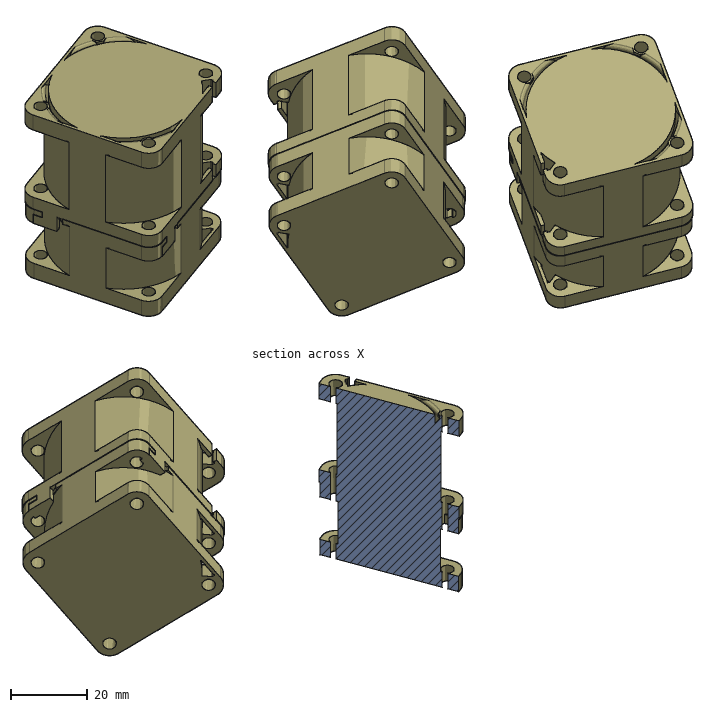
import cadquery as cq
import math

total_height = 56.14
upper_width = 40.18
lower_width = 39.86
split_z = 23.8
corner_radius = 4.0
flat_half_width = 5.4

end_flange = 5.17
upper_joint_flange = 4.13
lower_joint_flange = 4.83

screw_spacing = 32.0
screw_diameter = 3.5

plug_radius = 19.57
bell_throat_radius = 20.4
bell_lip_radius = 1.0
bell_mouth_radius = bell_throat_radius + bell_lip_radius
bell_depth = 3.0
bell_half_width = 19.26
boss_inner_edge = 13.77

cable_opening_points = [(15.95, 12.3), (18.3, 14.4), (19.0, 14.4), (19.0, 8.6), (18.4, 8.6)]
cable_slit_start_y = 11.9
cable_slit_end_y = 13.9

hook_foot_start = -upper_width / 2 + corner_radius
hook_stem_start = -13.4
hook_end = -9.05
hook_gap_end = -7.4
hook_foot_top_z = 21.97
hook_depth = 3.0
hook_angles = (0, 90)

upper_half = upper_width / 2
lower_joint_z = split_z - lower_joint_flange
upper_joint_z = split_z + upper_joint_flange
top_flange_z = total_height - end_flange


def box_between(x_range, y_range, z_range):
    """Axis-aligned box from three (low, high) pairs."""
    lows, highs = zip(x_range, y_range, z_range)
    sizes = [high - low for low, high in zip(lows, highs)]
    return cq.Workplane("XY").box(*sizes, centered=False).translate(lows)


def rounded_square(width, bottom_z, top_z):
    """Square block with rounded vertical corners."""
    block = cq.Workplane("XY", origin=(0, 0, bottom_z)).rect(width, width).extrude(top_z - bottom_z)
    return block.edges("|Z").fillet(corner_radius)


def barrel_radius_for(width):
    """Barrel radius that leaves the given flats on a frame of this width."""
    return math.hypot(width / 2, flat_half_width)


def casing_barrel(width, barrel_radius, bottom_z, top_z):
    """Round casing whose four sides are cut flat at the frame width."""
    barrel = cq.Workplane("XY", origin=(0, 0, bottom_z)).circle(barrel_radius).extrude(top_z - bottom_z)
    return barrel.intersect(rounded_square(width, bottom_z, top_z))


def flanges(width, levels):
    """Square flanges, one for each (bottom, top) pair, with screw and cable openings."""
    plates = cq.Workplane("XY")
    for bottom_z, top_z in levels:
        plates = plates.union(rounded_square(width, bottom_z, top_z))
    screw_holes = (
        cq.Workplane("XY")
        .rect(screw_spacing, screw_spacing, forConstruction=True)
        .vertices()
        .circle(screw_diameter / 2)
        .extrude(total_height)
    )
    cable_opening = cq.Workplane("XY").polyline(cable_opening_points).close().extrude(total_height)
    return plates.cut(screw_holes).cut(cable_opening)


def lower_frame():
    """Lower fan frame with clearance for the hooks on the -Y and +X sides."""
    plates = flanges(lower_width, [(0, end_flange), (lower_joint_z, split_z)])
    for angle in hook_angles:
        plates = plates.cut(hook_clearance().rotate((0, 0, 0), (0, 0, 1), angle))
    barrel = casing_barrel(lower_width, barrel_radius_for(lower_width), 0, split_z)
    collar = casing_barrel(lower_width, barrel_radius_for(upper_width), hook_foot_top_z, split_z)
    return plates.union(barrel).union(collar)


def upper_frame():
    """Upper fan frame with the cable slit opening to the +X side."""
    plates = flanges(upper_width, [(split_z, upper_joint_z), (top_flange_z, total_height)])
    opening_outer_x = max(x for x, _ in cable_opening_points)
    cable_slit = box_between(
        (opening_outer_x, upper_half),
        (cable_slit_start_y, cable_slit_end_y),
        (split_z, total_height),
    )
    barrel = casing_barrel(upper_width, barrel_radius_for(upper_width), split_z, total_height)
    return plates.cut(cable_slit).union(barrel)


def hook_clearance():
    """Free space beside and below the lower joint flange on the -Y side."""
    depth_range = (-upper_half, -upper_half + hook_depth)
    gap = box_between((hook_end, hook_gap_end), depth_range, (lower_joint_z, split_z))
    undercut = box_between((hook_end, -flat_half_width), depth_range, (lower_joint_z, hook_foot_top_z))
    return gap.union(undercut)


def hook():
    """L-shaped hook on the -Y side: a stem down from the split and a foot towards the corner."""
    outline = [
        (hook_end, split_z),
        (hook_end, lower_joint_z),
        (hook_foot_start, lower_joint_z),
        (hook_foot_start, hook_foot_top_z),
        (hook_stem_start, hook_foot_top_z),
        (hook_stem_start, split_z),
    ]
    side = cq.Workplane("XZ", origin=(0, -upper_half, 0))
    return side.polyline(outline).close().extrude(-hook_depth)


def revolve_about_z(profile):
    """Closes a half-section drawn in the XZ plane and turns it about the Z axis."""
    return profile.close().revolve(360, (0, 0, 0), (0, 1, 0))


def bell_groove():
    """Flared ring around the inlet plug, open at every corner except +X +Y."""
    lip_bottom_z = total_height - bell_lip_radius
    lip_diagonal = bell_lip_radius * math.sqrt(0.5)
    throat = revolve_about_z(
        cq.Workplane("XZ")
        .moveTo(plug_radius, total_height)
        .lineTo(bell_throat_radius, total_height)
        .lineTo(bell_throat_radius, lip_bottom_z)
        .lineTo(plug_radius, total_height - bell_depth)
    )
    lip = revolve_about_z(
        cq.Workplane("XZ")
        .moveTo(bell_throat_radius, total_height)
        .lineTo(bell_throat_radius, lip_bottom_z)
        .threePointArc(
            (bell_mouth_radius - lip_diagonal, lip_bottom_z + lip_diagonal),
            (bell_mouth_radius, total_height),
        )
    )
    depth_range = (total_height - bell_depth, total_height)
    boss = box_between((boss_inner_edge, upper_half), (boss_inner_edge, upper_half), depth_range)
    corner = box_between((0, bell_half_width), (0, bell_half_width), depth_range)
    corner_groove = lip.cut(boss).union(throat).intersect(corner)
    groove = cq.Workplane("XY")
    for angle in (90, 180, 270):
        groove = groove.union(corner_groove.rotate((0, 0, 0), (0, 0, 1), angle))
    return groove


def part():
    """Both frames joined by the hooks, with the inlet bell cut in."""
    body = lower_frame().union(upper_frame())
    for angle in hook_angles:
        body = body.union(hook().rotate((0, 0, 0), (0, 0, 1), angle))
    return body.cut(bell_groove())


result = part()